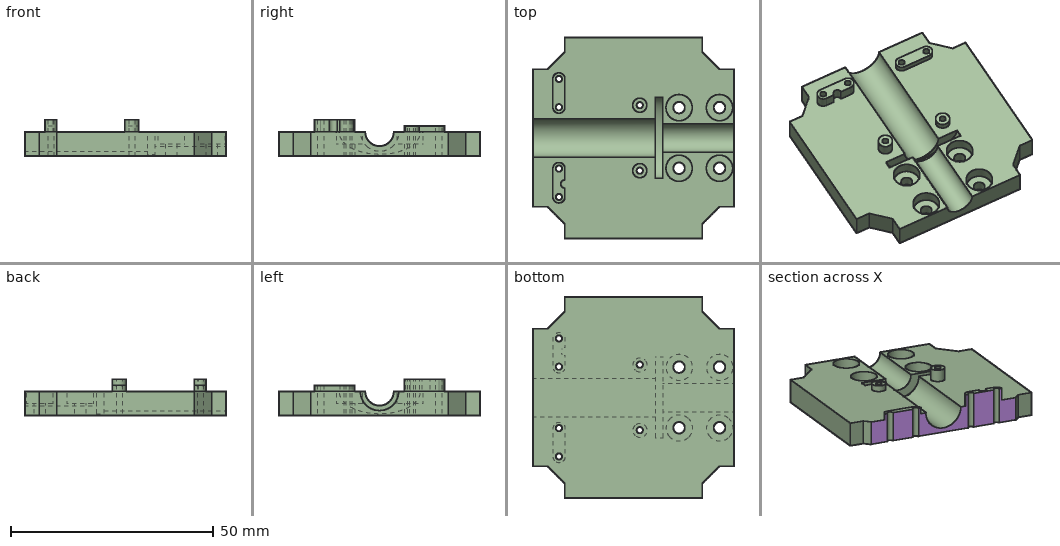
import cadquery as cq

plate_size = 49.8
plate_thickness = 6.0
edge_flat_length = 34.1
notch_step = 3.62

wide_channel_diameter = 9.5
narrow_channel_diameter = 7.0

collar_start_x = 5.4
collar_width = 1.85
collar_half_length = 10.02
collar_depth = 5.5

screw_hole_diameter = 2.8
counterbore_diameter = 6.5
counterbore_depth = 3.0
screw_hole_xs = (11.28, 21.28)
screw_hole_y = 7.5

low_height = 1.5
tall_height = 3.0
pilot_hole_diameter = 1.5
pad_x = -18.45
pad_y = 11.1
pad_width = 3.0
pad_hole_spacing = 7.0
boss_x = 1.55
boss_y = 8.1
boss_diameter = 3.5

pad_notch_diameter = 2.0
pad_notch_x = -17.0
pad_notch_y = -11.4

half_size = plate_size / 2
collar_end_x = collar_start_x + collar_width


def make_plate():
    half_flat = edge_flat_length / 2
    plate = cq.Workplane("XY").box(
        plate_size, plate_size, plate_thickness, centered=(True, True, False)
    )
    cutter = (
        cq.Workplane("XY")
        .moveTo(half_size, half_flat)
        .lineTo(half_size - notch_step, half_flat)
        .lineTo(half_flat, half_size - notch_step)
        .lineTo(half_flat, half_size)
        .lineTo(half_size, half_size)
        .close()
        .extrude(plate_thickness)
    )
    for quarter_turn in range(4):
        plate = plate.cut(cutter.rotate((0, 0, 0), (0, 0, 1), 90 * quarter_turn))
    return plate.translate((0, 0, -plate_thickness))


def channel_cutter(diameter, start_x, end_x):
    return cq.Workplane("YZ", origin=(start_x, 0, 0)).circle(diameter / 2).extrude(end_x - start_x)


def collar_cutter():
    return (
        cq.Workplane("YZ", origin=(collar_start_x, 0, 0))
        .ellipse(collar_half_length, collar_depth)
        .extrude(collar_width)
    )


def pad(center_y, height):
    return (
        cq.Workplane("XY")
        .center(pad_x, center_y)
        .slot2D(pad_hole_spacing + pad_width, pad_width, 90)
        .extrude(height)
    )


def boss(center_y, height):
    return cq.Workplane("XY").center(boss_x, center_y).circle(boss_diameter / 2).extrude(height)


def pad_notch_cutter():
    return (
        cq.Workplane("XY")
        .center(pad_notch_x, pad_notch_y)
        .circle(pad_notch_diameter / 2)
        .extrude(tall_height)
    )


def pilot_hole_cutter():
    points = []
    for side in (1, -1):
        points.append((boss_x, side * boss_y))
        for end in (1, -1):
            points.append((pad_x, side * pad_y + end * pad_hole_spacing / 2))
    return (
        cq.Workplane("XY", origin=(0, 0, -plate_thickness))
        .pushPoints(points)
        .circle(pilot_hole_diameter / 2)
        .extrude(plate_thickness + tall_height)
    )


def screw_hole_cutter():
    points = [(x, side * screw_hole_y) for x in screw_hole_xs for side in (1, -1)]
    centers = cq.Workplane("XY").pushPoints(points)
    holes = centers.circle(screw_hole_diameter / 2).extrude(-plate_thickness)
    counterbores = centers.circle(counterbore_diameter / 2).extrude(-counterbore_depth)
    return holes.union(counterbores)


result = make_plate()
for side, height in ((1, low_height), (-1, tall_height)):
    result = result.union(pad(side * pad_y, height))
    result = result.union(boss(side * boss_y, height))
result = result.cut(pad_notch_cutter())
result = result.cut(channel_cutter(wide_channel_diameter, -half_size, collar_start_x))
result = result.cut(channel_cutter(narrow_channel_diameter, collar_end_x, half_size))
result = result.cut(collar_cutter())
result = result.cut(pilot_hole_cutter())
result = result.cut(screw_hole_cutter())